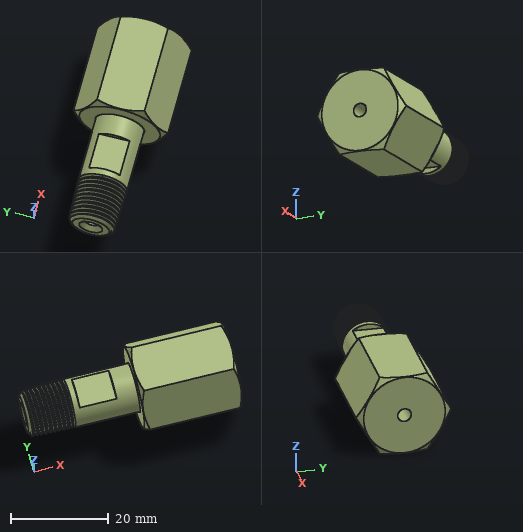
import cadquery as cq
import math

OVERALL_LENGTH = 44.25
HEX_LENGTH = 20.85
HEX_ACROSS_FLATS = 17.45
TIP_X = -OVERALL_LENGTH / 2
HEX_END_X = OVERALL_LENGTH / 2
HEX_FACE_X = HEX_END_X - HEX_LENGTH

HEX_CORNER_RADIUS = HEX_ACROSS_FLATS / 2 / math.cos(math.pi / 6)
HEX_FACE_RADIUS = 8.6
HEX_CHAMFER_DEPTH = 0.9

SHANK_RADIUS = 5.15
TIP_FACE_RADIUS = 3.95
TIP_CHAMFER_LENGTH = 0.65
FLATS_START_X = TIP_X + 11.1
FLATS_LENGTH = 7.85
ACROSS_WRENCH_FLATS = 7.92

THREAD_LENGTH = 9.8
THREAD_TURNS = 10
GROOVE_TRAVEL = 9.4
THREAD_PITCH = GROOVE_TRAVEL / THREAD_TURNS
THREAD_TAPER = 1 / 32
GROOVE_DEPTH = 0.55
GROOVE_MOUTH_WIDTH = 0.7
GROOVE_ROOT_WIDTH = 0.065
GROOVE_OVERCUT = 0.15
RUN_OUT_ANGLE = 150.0

SOCKET_DEPTH = HEX_LENGTH / 2
SOCKET_CLEARANCE = 0.1
SOCKET_FLOOR_X = HEX_FACE_X + SOCKET_DEPTH

BORE_RADIUS = 1.4
COUNTERSINK_RADIUS = 2.5
COUNTERSINK_DEPTH = 1.05


def thread_crest_radius(distance_from_tip):
    """Radius of the tapered thread crest, which meets the shank radius at the thread end."""
    return SHANK_RADIUS - (THREAD_LENGTH - distance_from_tip) * THREAD_TAPER


def revolve_about_x(profile):
    """Solid of revolution about X from a list of (x, radius) points."""
    return cq.Workplane("XY").polyline(profile).close().revolve(360, (0, 0, 0), (1, 0, 0))


def cylinder_along_x(start_x, end_x, radius):
    return cq.Workplane("YZ", origin=(start_x, 0, 0)).circle(radius).extrude(end_x - start_x)


def groove_section(crest_radius):
    """V groove outline as (radius, axial offset) points, reaching a little outside the crest."""
    root_radius = crest_radius - GROOVE_DEPTH
    outer_radius = crest_radius + GROOVE_OVERCUT
    flank_slope = (GROOVE_MOUTH_WIDTH - GROOVE_ROOT_WIDTH) / 2 / GROOVE_DEPTH
    root_half = GROOVE_ROOT_WIDTH / 2
    outer_half = root_half + flank_slope * (outer_radius - root_radius)
    return [
        (root_radius, -root_half),
        (outer_radius, -outer_half),
        (outer_radius, outer_half),
        (root_radius, root_half),
    ]


def make_helical_groove():
    """Right-handed groove on a cone, starting and ending on the +Z side of the thread."""
    start_radius = thread_crest_radius(0)
    taper_angle = math.degrees(math.atan(THREAD_TAPER))
    helix = cq.Wire.makeHelix(THREAD_PITCH, GROOVE_TRAVEL, start_radius, angle=taper_angle)
    groove = (
        cq.Workplane("XZ")
        .polyline(groove_section(start_radius))
        .close()
        .sweep(cq.Workplane(helix), isFrenet=True)
    )
    groove = groove.rotate((0, 0, 0), (0, 1, 0), 90).rotate((0, 0, 0), (1, 0, 0), 180)
    return groove.translate((TIP_X, 0, 0))


def make_groove_run_out():
    """Level arc of groove from the helix end at +Z, down the -Y side."""
    centre_x = TIP_X + GROOVE_TRAVEL
    section = groove_section(thread_crest_radius(GROOVE_TRAVEL))
    profile = [(centre_x + offset, radius) for radius, offset in section]
    return (
        cq.Workplane("XZ")
        .polyline(profile)
        .close()
        .revolve(RUN_OUT_ANGLE, (0, 0, 0), (1, 0, 0))
    )


def make_wrench_flat_cutter(side):
    """Block that removes the shank beyond one wrench flat, above (+1) or below (-1) the axis."""
    cut_depth = SHANK_RADIUS - ACROSS_WRENCH_FLATS / 2
    block_height = 2 * cut_depth
    centre_z = side * (ACROSS_WRENCH_FLATS / 2 + block_height / 2)
    centre_x = FLATS_START_X + FLATS_LENGTH / 2
    return cq.Workplane("XY").box(FLATS_LENGTH, 2 * SHANK_RADIUS, block_height).translate(
        (centre_x, 0, centre_z)
    )


def make_stem():
    """Turned stem with bore, countersink, tip chamfer, tapered thread and wrench flats."""
    stem = revolve_about_x([
        (TIP_X, COUNTERSINK_RADIUS),
        (TIP_X, TIP_FACE_RADIUS),
        (TIP_X + TIP_CHAMFER_LENGTH, thread_crest_radius(TIP_CHAMFER_LENGTH)),
        (TIP_X + THREAD_LENGTH, SHANK_RADIUS),
        (SOCKET_FLOOR_X, SHANK_RADIUS),
        (SOCKET_FLOOR_X, BORE_RADIUS),
        (TIP_X + COUNTERSINK_DEPTH, BORE_RADIUS),
    ])
    for side in (1, -1):
        stem = stem.cut(make_wrench_flat_cutter(side))
    return stem.cut(make_groove_run_out()).cut(make_helical_groove())


def make_hex_body():
    """Hexagon with chamfered corners, a socket for the stem and the bore carried on through it."""
    hexagon = (
        cq.Workplane("YZ", origin=(HEX_FACE_X, 0, 0))
        .polygon(6, 2 * HEX_CORNER_RADIUS)
        .extrude(HEX_LENGTH)
    )
    chamfer_envelope = revolve_about_x([
        (HEX_FACE_X, 0),
        (HEX_FACE_X, HEX_FACE_RADIUS),
        (HEX_FACE_X + HEX_CHAMFER_DEPTH, HEX_CORNER_RADIUS),
        (HEX_END_X - HEX_CHAMFER_DEPTH, HEX_CORNER_RADIUS),
        (HEX_END_X, HEX_FACE_RADIUS),
        (HEX_END_X, 0),
    ])
    socket = cylinder_along_x(HEX_FACE_X, SOCKET_FLOOR_X, SHANK_RADIUS + SOCKET_CLEARANCE)
    bore = cylinder_along_x(SOCKET_FLOOR_X, HEX_END_X, BORE_RADIUS)
    return hexagon.intersect(chamfer_envelope).cut(socket).cut(bore)


stem = make_stem()
hex_body = make_hex_body()

result = cq.Compound.makeCompound([stem.solids().val(), hex_body.solids().val()])